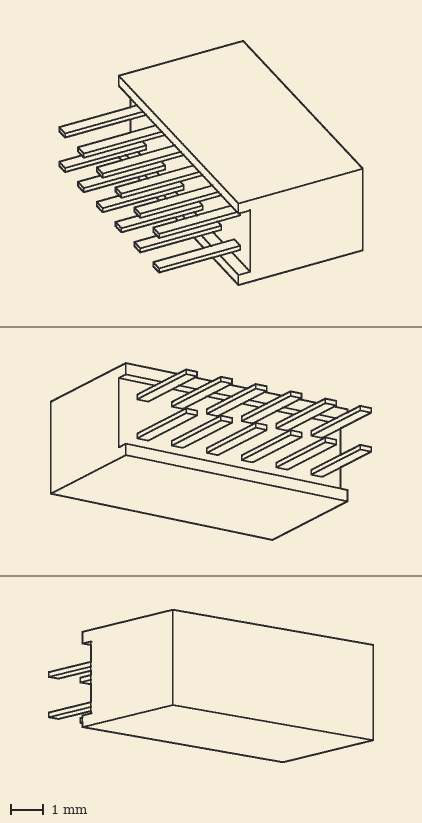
import cadquery as cq

length = 8.08
body_depth = 4.3
height = 3.0

lip_thickness = 0.37
channel_depth = 0.4

pins_per_row = 6
rows = 2
pitch = 1.27
pin_width = 0.4
pin_thickness = 0.15
pin_reach = 2.4

body_front = -body_depth / 2
channel_floor = body_front + channel_depth
pin_tip = body_front - pin_reach


def make_housing():
    """Block with a full-length channel in its -Y face."""
    block = cq.Workplane("XY").box(length, body_depth, height)
    channel = cq.Workplane("XY").box(
        length, channel_depth, height - 2 * lip_thickness
    )
    channel_center = body_front + channel_depth / 2
    return block.cut(channel.translate((0, channel_center, 0)))


def make_pins():
    """Pins from the channel floor to their tips, on a centred grid."""
    return (
        cq.Workplane("XZ", origin=(0, channel_floor, 0))
        .rarray(pitch, pitch, pins_per_row, rows)
        .rect(pin_width, pin_thickness)
        .extrude(channel_floor - pin_tip)
    )


result = make_housing().union(make_pins())